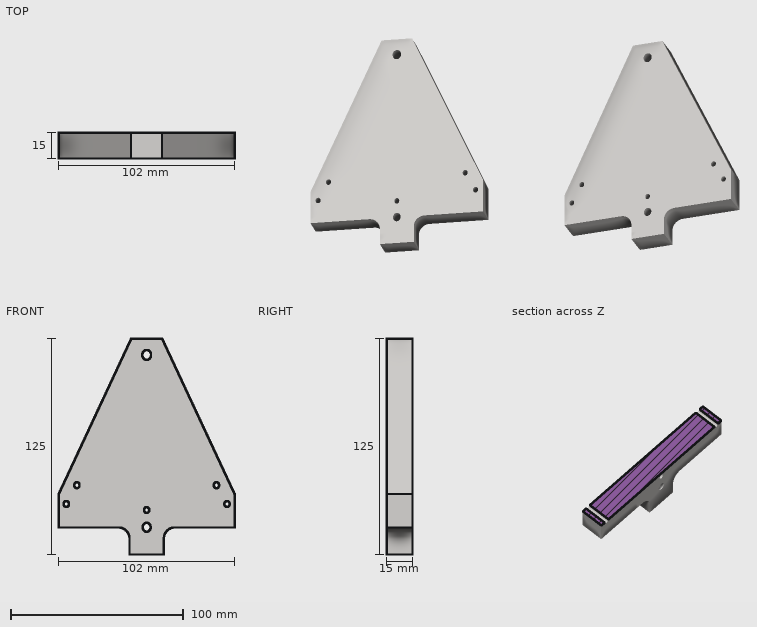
import cadquery as cq

width = 102.0
thickness = 15.0
height = 125.0

top_width = 18.0
stem_width = 20.0
shoulder_z = 15.8
side_top_z = 35.0
stem_fillet = 6.4

top_hole_size = (5.0, 5.6)
top_hole_z = 115.6
stem_hole_size = (4.5, 5.1)
stem_hole_z = 15.9
center_hole_size = (2.9, 3.4)
side_hole_size = (3.0, 3.4)
center_hole_z = 25.9
upper_side_hole = (40.4, 40.2)
lower_side_hole = (46.5, 29.4)


def make_plate():
    """Tapered plate with a narrow stem, centred on X and Y, standing on Z = 0."""
    right_side = [
        (stem_width / 2, 0),
        (stem_width / 2, shoulder_z),
        (width / 2, shoulder_z),
        (width / 2, side_top_z),
        (top_width / 2, height),
    ]
    left_side = [(-x, z) for x, z in reversed(right_side)]
    plate = (
        cq.Workplane("XZ")
        .polyline(right_side + left_side)
        .close()
        .extrude(thickness / 2, both=True)
    )
    corner_centers = [(side * stem_width / 2, 0, shoulder_z) for side in (-1, 1)]
    for center in corner_centers:
        corner_edge = cq.selectors.NearestToPointSelector(center)
        plate = plate.edges("|Y").edges(corner_edge).fillet(stem_fillet)
    return plate


def through_holes(points, size):
    """Elliptical cutters along Y, long enough to pass through the plate."""
    hole_width, hole_height = size
    return (
        cq.Workplane("XZ")
        .pushPoints(points)
        .ellipse(hole_width / 2, hole_height / 2)
        .extrude(thickness, both=True)
    )


side_hole_points = []
for x, z in (upper_side_hole, lower_side_hole):
    side_hole_points += [(-x, z), (x, z)]

result = (
    make_plate()
    .cut(through_holes([(0, top_hole_z)], top_hole_size))
    .cut(through_holes([(0, stem_hole_z)], stem_hole_size))
    .cut(through_holes([(0, center_hole_z)], center_hole_size))
    .cut(through_holes(side_hole_points, side_hole_size))
)